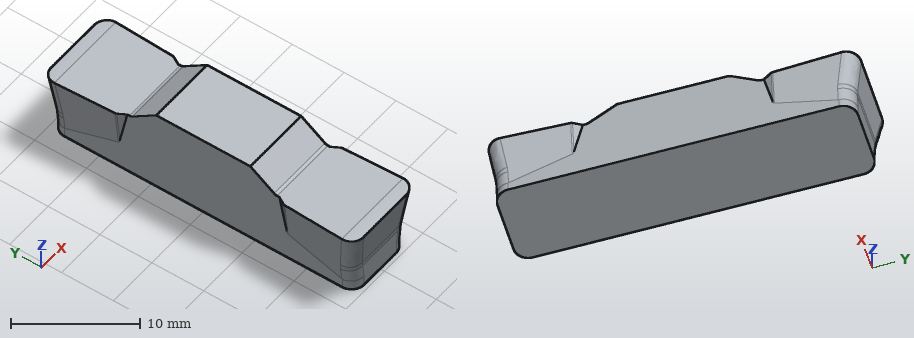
import cadquery as cq
import math

total_length = 30.1
cutting_width = 8.0
total_height = 8.08

body_width = 6.62
head_height = 6.38
bridge_top_length = 9.06
bridge_slope_angle = 35.0
bridge_foot_radius = 0.5

draft_angle = 7.0
back_taper_angle = 2.4
corner_radius = 1.2
tip_slope_angle = 6.0
end_draft_bottom = 2.8
end_blend_height = 0.44
head_back = 8.1
merge_angle = 30.0
merge_edge_radius = 0.3
merge_overlap = 1.0

margin = 0.1

draft = math.radians(draft_angle)
tip_slope = math.radians(tip_slope_angle)
tip_curve_radius = corner_radius / math.sin(tip_slope)
tip_drop = tip_curve_radius * (1 - math.cos(tip_slope))
tip_curve_start = total_length / 2 - corner_radius
half_length = total_length / 2 + tip_drop * math.tan(draft)
end_blend_radius = end_blend_height / math.sin(draft)
end_blend_top_y = half_length - (head_height - end_draft_bottom) * math.tan(draft)
end_blend_bottom_z = end_draft_bottom - end_blend_height
base_half_length = end_blend_top_y - end_blend_radius * (1 - math.cos(draft))


def make_body():
    """Bar with rounded upright corners and a trapezoidal bridge on top."""
    bar = (
        cq.Workplane("XY")
        .box(body_width, 2 * base_half_length, head_height, centered=(True, True, False))
        .edges("|Z")
        .fillet(corner_radius)
    )
    rise = total_height - head_height
    half_top = bridge_top_length / 2
    half_foot = half_top + rise / math.tan(math.radians(bridge_slope_angle))
    bridge = (
        cq.Workplane("YZ")
        .polyline(
            [
                (-half_foot, head_height),
                (-half_top, total_height),
                (half_top, total_height),
                (half_foot, head_height),
            ]
        )
        .close()
        .extrude(body_width / 2, both=True)
    )
    foot_edges = cq.selectors.BoxSelector(
        (-body_width, -half_foot - margin, head_height - margin),
        (body_width, half_foot + margin, head_height + margin),
    )
    return bar.union(bridge).edges("|X").edges(foot_edges).fillet(bridge_foot_radius)


def head_plan(height):
    """Closed plan outline of the sharp-cornered head at the given height, as a wire."""
    inset = (head_height - height) * math.tan(draft)
    taper = math.tan(math.radians(back_taper_angle))
    front_x = cutting_width / 2 + (half_length - tip_curve_start) * taper - inset
    back_x = cutting_width / 2 - (tip_curve_start - head_back) * taper - inset
    inner_x = back_x - merge_overlap * math.tan(math.radians(merge_angle))
    inner_y = head_back - merge_overlap
    half_outline = [(front_x, half_length), (back_x, head_back), (inner_x, inner_y)]
    mirrored = [(-x, y) for x, y in reversed(half_outline)]
    points = [cq.Vector(x, y, height) for x, y in half_outline + mirrored]
    return cq.Wire.makePolygon(points, close=True)


def make_head():
    """Head at the +Y end: drafted plan shape trimmed by the end profile, with rounded corners."""
    drafted = cq.Workplane(cq.Solid.makeLoft([head_plan(0), head_plan(head_height)], True))
    merge_edges = cq.selectors.BoxSelector(
        (-cutting_width, head_back - margin, margin),
        (cutting_width, head_back + margin, head_height - margin),
    )
    drafted = drafted.edges(merge_edges).fillet(merge_edge_radius)
    blend_mid_y = base_half_length + end_blend_radius * (1 - math.cos(draft / 2))
    blend_mid_z = end_blend_bottom_z + end_blend_radius * math.sin(draft / 2)
    end_profile = (
        cq.Workplane("YZ")
        .moveTo(0, 0)
        .lineTo(base_half_length, 0)
        .lineTo(base_half_length, end_blend_bottom_z)
        .threePointArc((blend_mid_y, blend_mid_z), (end_blend_top_y, end_draft_bottom))
        .lineTo(half_length, head_height)
        .lineTo(0, head_height)
        .close()
        .extrude(cutting_width, both=True)
    )
    corners = cq.selectors.BoxSelector(
        (-cutting_width, base_half_length - margin, margin),
        (cutting_width, half_length + margin, head_height - margin),
    )
    return drafted.intersect(end_profile).edges(corners).edges("not |X").fillet(corner_radius)


def make_tip_cutter():
    """Material to remove above the +Y tip, where the top curves down from the flat head."""
    arc_centre_z = head_height - tip_curve_radius
    past_tip = 2 * tip_slope

    def on_arc(angle):
        return (
            tip_curve_start + tip_curve_radius * math.sin(angle),
            arc_centre_z + tip_curve_radius * math.cos(angle),
        )

    return (
        cq.Workplane("YZ")
        .moveTo(tip_curve_start, head_height)
        .threePointArc(on_arc(past_tip / 2), on_arc(past_tip))
        .lineTo(on_arc(past_tip)[0], total_height)
        .lineTo(tip_curve_start, total_height)
        .close()
        .extrude(cutting_width, both=True)
    )


head = make_head()
tip_cutter = make_tip_cutter()
result = make_body().union(head).union(head.mirror("XZ"))
result = result.cut(tip_cutter).cut(tip_cutter.mirror("XZ"))